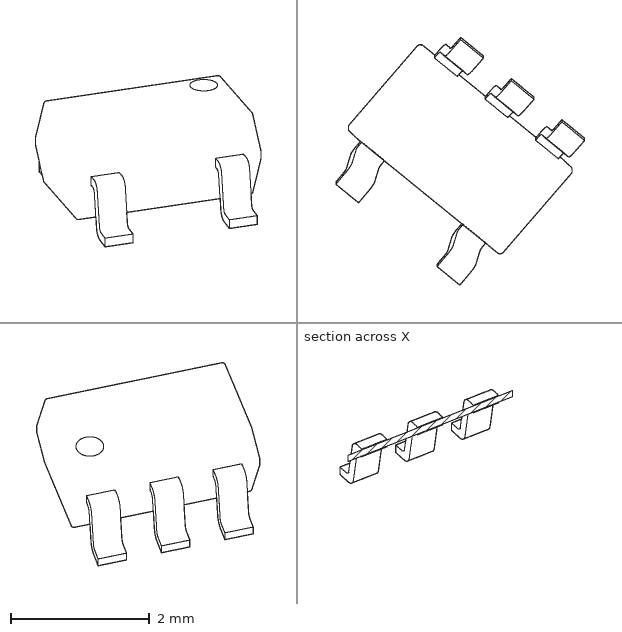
import cadquery as cq
import math

HOUSING_WIDTH = 1.625
HOUSING_LENGTH = 2.9
HOUSING_TOP = 1.45
HOUSING_BOTTOM = 0.15
BELT_HEIGHT = 0.12
DRAFT_ANGLE = 9.5
EDGE_RADIUS = 0.05

MARKER_DIAMETER = 0.4
MARKER_DEPTH = 0.03
MARKER_X = -0.43
MARKER_Y = 1.003

LEAD_SPAN = 2.8
LEAD_WIDTH = 0.43
LEAD_PITCH = 0.95
LEAD_THICKNESS = 0.14
LEAD_TOP = 0.86
SHOULDER_LENGTH = 0.238
LEG_ANGLE = 10.0
FOOT_ANGLE = 3.5
BEND_OUTER_RADIUS = 0.15
BEND_INNER_RADIUS = 0.075

BELT_MIDDLE = LEAD_TOP - LEAD_THICKNESS / 2
BELT_TOP = BELT_MIDDLE + BELT_HEIGHT / 2
BELT_BOTTOM = BELT_MIDDLE - BELT_HEIGHT / 2


def housing_block(start, height, taper=0.0):
    """Full-size rectangle at height `start`, extruded by `height` (negative is down)."""
    return (
        cq.Workplane("XY")
        .workplane(offset=start)
        .rect(HOUSING_WIDTH, HOUSING_LENGTH)
        .extrude(height, taper=taper)
    )


def make_marker():
    return (
        cq.Workplane("XY")
        .workplane(offset=HOUSING_TOP - MARKER_DEPTH)
        .center(MARKER_X, MARKER_Y)
        .circle(MARKER_DIAMETER / 2)
        .extrude(MARKER_DEPTH)
    )


def make_housing(marker):
    belt = housing_block(BELT_BOTTOM, BELT_HEIGHT)
    upper = housing_block(BELT_TOP, HOUSING_TOP - BELT_TOP, DRAFT_ANGLE)
    lower = housing_block(BELT_BOTTOM, HOUSING_BOTTOM - BELT_BOTTOM, DRAFT_ANGLE)
    body = belt.union(upper).union(lower)
    corners = body.edges("not #Z")
    rims = body.faces("<Z or >Z").edges()
    return body.newObject(corners.vals() + rims.vals()).fillet(EDGE_RADIUS).cut(marker)


def crossing(shoulder_x, shoulder_z, tip_z):
    """Where the leg line through a shoulder corner meets the foot line through the tip at tip_z."""
    tip_x = LEAD_SPAN / 2
    leg_slope = math.tan(math.radians(LEG_ANGLE))
    foot_slope = math.tan(math.radians(FOOT_ANGLE))
    foot_z = tip_z + foot_slope * (tip_x - shoulder_x)
    drop = (shoulder_z - foot_z) / (1 - leg_slope * foot_slope)
    return shoulder_x + leg_slope * drop, shoulder_z - drop


def make_lead(side, y):
    """Bent strip on the +X (side = 1) or -X (side = -1) face, centred on y."""
    root_x = HOUSING_WIDTH / 2
    tip_x = LEAD_SPAN / 2
    under_z = LEAD_TOP - LEAD_THICKNESS
    tip_top = LEAD_THICKNESS / math.cos(math.radians(FOOT_ANGLE))

    outer_shoulder = root_x + SHOULDER_LENGTH
    mitre = math.tan(math.radians(90 - LEG_ANGLE) / 2)
    inner_shoulder = outer_shoulder - LEAD_THICKNESS * mitre
    inner_ankle = crossing(outer_shoulder, LEAD_TOP, tip_top)
    outer_ankle = crossing(inner_shoulder, under_z, 0)

    outline = [
        (root_x, LEAD_TOP),
        (outer_shoulder, LEAD_TOP),
        inner_ankle,
        (tip_x, tip_top),
        (tip_x, 0),
        outer_ankle,
        (inner_shoulder, under_z),
        (root_x, under_z),
    ]
    bends = [
        ((outer_shoulder, LEAD_TOP), BEND_OUTER_RADIUS),
        ((inner_shoulder, under_z), BEND_INNER_RADIUS),
        (inner_ankle, BEND_INNER_RADIUS),
        (outer_ankle, BEND_OUTER_RADIUS),
    ]
    lead = (
        cq.Workplane("XZ", origin=(0, y, 0))
        .polyline([(side * x, z) for x, z in outline])
        .close()
        .extrude(LEAD_WIDTH / 2, both=True)
    )
    for (x, z), radius in bends:
        bend = cq.selectors.NearestToPointSelector((side * x, y, z))
        lead = lead.edges("|Y").edges(bend).fillet(radius)
    return lead


marker = make_marker()
housing = make_housing(marker)

lead_places = [(-1, -1), (-1, 0), (-1, 1), (1, -1), (1, 1)]
leads = [make_lead(side, row * LEAD_PITCH) for side, row in lead_places]

result = cq.Compound.makeCompound(
    [housing.solids().val(), marker.val(), *[lead.solids().val() for lead in leads]]
)